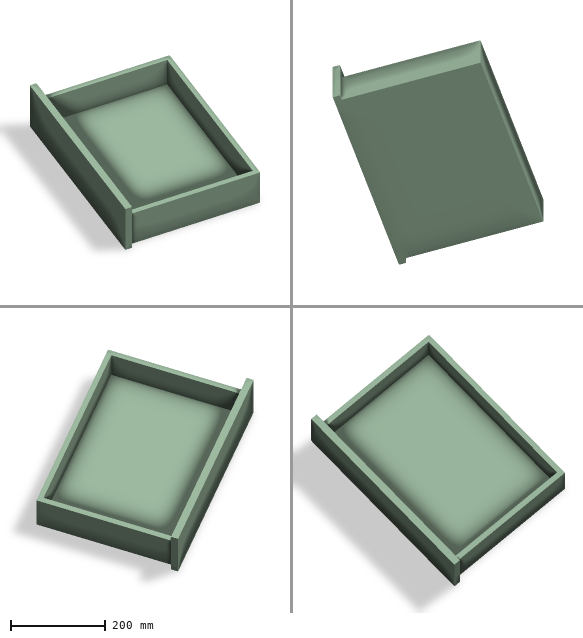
import cadquery as cq

panel_width = 455.5
panel_height = 113.5
panel_thickness = 16.0

overall_depth = 326.5
box_width = 432.0
box_height = 84.0
wall = 12.0
floor_thickness = 16.0
box_depth = overall_depth - panel_thickness


def block(width, depth, height, front, bottom):
    """Block centred on X, starting at the given front Y and bottom Z."""
    return (
        cq.Workplane("XY")
        .box(width, depth, height, centered=(True, False, False))
        .translate((0, front, bottom))
    )


panel = block(panel_width, panel_thickness, panel_height, 0, 0)
box = block(box_width, box_depth, box_height, panel_thickness, 0)

cavity = block(
    box_width - 2 * wall,
    box_depth - wall,
    box_height - floor_thickness,
    panel_thickness,
    floor_thickness,
)

result = panel.union(box.cut(cavity))